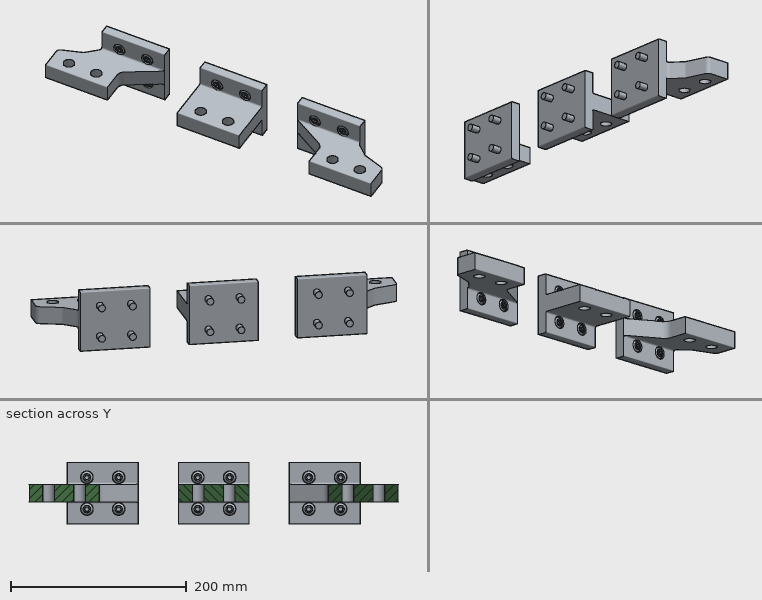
import cadquery as cq
import math

overall_length = 420.0
middle_x = overall_length / 2

plate_height = 70.0
plate_thickness = 12.0
middle_plate_width = 80.2
side_plate_width = 81.0
edge_fillet = 1.0

arm_reach = 55.0
arm_width = 80.0
arm_thickness = 20.0
root_fillet = 2.0

arm_hole_diameter = 13.0
arm_hole_spacing = 35.3
arm_hole_y = 15.0

side_plate_left = 43.3
side_plate_right = side_plate_left + side_plate_width
outer_edge_top_y = 29.5
kink_x = 28.5
kink_y = 39.0
neck_y = 52.5
brace_angle = math.radians(30)
brace_foot_y = arm_reach - (side_plate_right - arm_width) * math.tan(brace_angle)
brace_fillet = 10.0
corner_fillet = 5.0

screw_spacing = 36.0
shank_diameter = 8.0
shank_projection = 11.5
recess_diameter = 14.3
recess_depth = 4.0
head_diameter = 14.0
head_flat_diameter = 8.5
socket_across_flats = 5.0
socket_depth = 2.5
socket_tip_depth = 1.3


def make_plate(left_x, width):
    """Mounting plate with its four long edges rounded."""
    plate = cq.Workplane("XY").box(width, plate_thickness, plate_height, centered=(False, False, True))
    return plate.edges("|X").fillet(edge_fillet).translate((left_x, arm_reach, 0))


def make_straight_arm(left_x, width):
    """Rectangular arm of the middle bracket."""
    arm = cq.Workplane("XY").box(width, arm_reach, arm_thickness, centered=(False, False, True))
    return arm.translate((left_x, 0, 0))


def fillet_upright_edge(solid, corner, radius):
    """Round the vertical edge that stands at the given (x, y) corner."""
    nearest = cq.selectors.NearestToPointSelector((*corner, 0))
    return solid.edges("|Z").edges(nearest).fillet(radius)


def make_offset_arm():
    """Arm of a side bracket, stepping sideways from its plate to its outer end."""
    outline = [
        (0, 0),
        (arm_width, 0),
        (arm_width, brace_foot_y),
        (side_plate_right, arm_reach),
        (side_plate_left, arm_reach),
        (side_plate_left, neck_y),
        (kink_x, kink_y),
        (0, outer_edge_top_y),
    ]
    arm = cq.Workplane("XY", origin=(0, 0, -arm_thickness / 2)).polyline(outline).close().extrude(arm_thickness)
    arm = fillet_upright_edge(arm, (arm_width, brace_foot_y), brace_fillet)
    for corner in ((side_plate_left, neck_y), (kink_x, kink_y), (0, outer_edge_top_y)):
        arm = fillet_upright_edge(arm, corner, corner_fillet)
    return arm


def make_root_fillet(arm, left_x, width):
    """Concave strips that blend the top and bottom of the arm into the plate, ending flush with the arm sides."""
    top_z = arm_thickness / 2
    outer_z = top_z + root_fillet
    start_y = arm_reach - root_fillet
    mid = root_fillet * math.sqrt(0.5)
    strip = (
        cq.Workplane("YZ", origin=(left_x, 0, 0))
        .moveTo(start_y, top_z)
        .threePointArc((start_y + mid, outer_z - mid), (arm_reach, outer_z))
        .lineTo(arm_reach, top_z)
        .close()
        .extrude(width)
    )
    arm_footprint = arm.faces(">Z").wires().toPending().extrude(root_fillet, combine=False)
    strip = strip.intersect(arm_footprint)
    return strip.union(strip.mirror("XY"))


def make_arm_holes(arm_center_x):
    """Cutters for the two vertical holes in the arm."""
    return (
        cq.Workplane("XY", origin=(arm_center_x, arm_hole_y, -arm_thickness))
        .rarray(arm_hole_spacing, 4, 2, 1)
        .circle(arm_hole_diameter / 2)
        .extrude(2 * arm_thickness)
    )


def make_screw():
    """Button-head screw along +Y, head top at Y = 0, with a hexagonal socket that ends in a cone."""
    head_radius = head_diameter / 2
    flat_radius = head_flat_diameter / 2
    shank_radius = shank_diameter / 2
    shank_end = plate_thickness + shank_projection
    dome_share = math.sqrt(0.5)
    dome_mid = (flat_radius + dome_share * (head_radius - flat_radius), (1 - dome_share) * recess_depth)
    profile = (
        cq.Workplane("XY")
        .lineTo(flat_radius, 0)
        .threePointArc(dome_mid, (head_radius, recess_depth))
        .lineTo(shank_radius, recess_depth)
        .lineTo(shank_radius, shank_end)
        .lineTo(0, shank_end)
        .close()
    )
    screw = profile.revolve(360, (0, 0, 0), (0, 1, 0))
    socket_corner_diameter = socket_across_flats / math.cos(math.pi / 6)
    socket = cq.Workplane("XZ").polygon(6, socket_corner_diameter).extrude(-socket_depth)
    socket_tip = cq.Solid.makeCone(
        socket_across_flats / 2, 0, socket_tip_depth, pnt=(0, socket_depth, 0), dir=(0, 1, 0)
    )
    return screw.cut(socket).cut(cq.Workplane(socket_tip))


def add_screws(bracket, plate_center_x):
    """Recess the plate face and fuse a screw into each recess."""
    recess = cq.Workplane("XZ").circle(recess_diameter / 2).extrude(recess_depth + root_fillet)
    recess = recess.translate((0, recess_depth, 0))
    screw = make_screw()
    for x_side in (-1, 1):
        for z_side in (-1, 1):
            place = (plate_center_x + x_side * screw_spacing / 2, arm_reach, z_side * screw_spacing / 2)
            bracket = bracket.cut(recess.translate(place)).union(screw.translate(place))
    return bracket


def make_bracket(arm, arm_center_x, plate_left_x, plate_width):
    """Join an arm to its plate, then add the holes and the screws."""
    arm = arm.faces("<Y").edges("|X").fillet(edge_fillet)
    bracket = make_plate(plate_left_x, plate_width).union(arm)
    bracket = bracket.union(make_root_fillet(arm, plate_left_x, plate_width))
    bracket = bracket.cut(make_arm_holes(arm_center_x))
    return add_screws(bracket, plate_left_x + plate_width / 2)


middle_left = middle_x - middle_plate_width / 2
middle_bracket = make_bracket(
    make_straight_arm(middle_left, middle_plate_width), middle_x, middle_left, middle_plate_width
)

left_bracket = make_bracket(make_offset_arm(), arm_width / 2, side_plate_left, side_plate_width)
right_bracket = left_bracket.mirror("YZ", (middle_x, 0, 0))

result = cq.Compound.makeCompound([left_bracket.val(), middle_bracket.val(), right_bracket.val()])